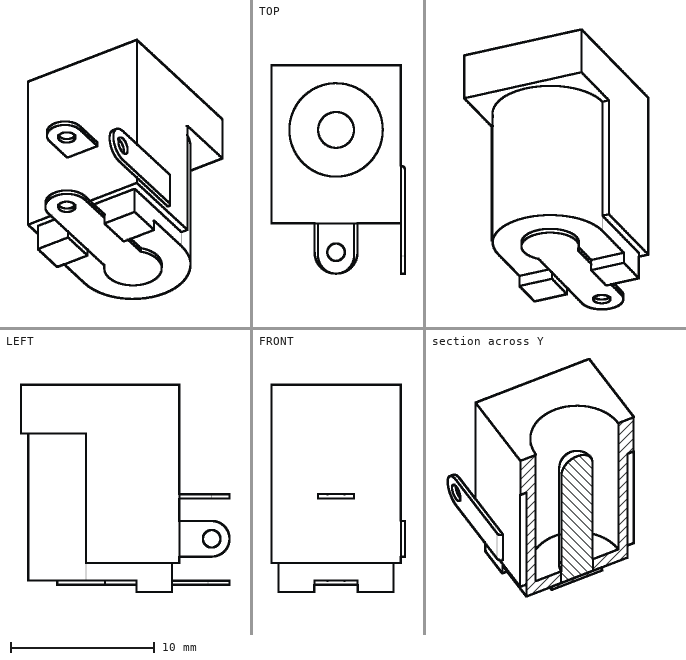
import cadquery as cq


total_height = 14.4
body_width = 8.99
body_front = -6.5
collar_back = 4.51
collar_height = 3.4
body_bottom = 2.0
core_bottom = 0.8
core_width = 8.0
core_radius = core_width / 2
core_front = body_front + 0.5
foot_length = 2.5

bore_diameter = 6.5
bore_floor = body_bottom
pin_diameter = 2.5
pin_radius = pin_diameter / 2
pin_tip = total_height - 1.7

sheet = 0.3
tip_y = body_front - 3.5
hole_diameter = 1.2
tab_width = 2.5
tab_radius = tab_width / 2
upper_bottom = 6.5
upper_hole_y = tip_y + 1.5
side_center_z = 3.7
side_hole_y = tip_y + tab_radius
side_back = body_front + 4.0
strip_width = 3.0
strip_radius = strip_width / 2
strip_hole_y = tip_y + strip_radius
disc_radius = 2.0


def box(width, y_front, y_back, z_bottom, z_top):
    """Box centred on X = 0 between the given Y and Z limits."""
    length = y_back - y_front
    return (
        cq.Workplane("XY", origin=(0, (y_front + y_back) / 2, z_bottom))
        .box(width, length, z_top - z_bottom, centered=(True, True, False))
    )


def cylinder(radius, z_bottom, z_top):
    """Cylinder on the barrel axis."""
    return cq.Workplane("XY", origin=(0, 0, z_bottom)).circle(radius).extrude(z_top - z_bottom)


def make_housing():
    body = box(body_width, body_front, 0, body_bottom, total_height)
    collar = box(body_width, 0, collar_back, total_height - collar_height, total_height)
    core = box(core_width, core_front, 0, core_bottom, total_height)
    round_end = cylinder(core_radius, core_bottom, total_height)
    foot_back = core_front + foot_length
    feet = box(core_width, core_front, foot_back, 0, core_bottom)
    foot_gap = box(strip_width, core_front, foot_back, 0, core_bottom)
    bore = cylinder(bore_diameter / 2, bore_floor, total_height)
    pin_hole = cylinder(pin_radius, core_bottom, bore_floor)
    solid = body.union(collar).union(core).union(round_end).union(feet.cut(foot_gap))
    return solid.cut(bore).cut(pin_hole)


def make_pin():
    """Domed pin that passes through the bore floor onto the bottom terminal."""
    dome_center = pin_tip - pin_radius
    shaft = cylinder(pin_radius, core_bottom, dome_center)
    dome = cq.Workplane("XY", origin=(0, 0, dome_center)).sphere(pin_radius)
    return shaft.union(dome)


def solder_tab(width, back_y, hole_y):
    """Flat tab on Z = 0 with a full-round tip at tip_y and a wire hole."""
    radius = width / 2
    round_y = tip_y + radius
    return (
        cq.Workplane("XY")
        .moveTo(-radius, back_y)
        .lineTo(-radius, round_y)
        .threePointArc((0, tip_y), (radius, round_y))
        .lineTo(radius, back_y)
        .close()
        .moveTo(0, hole_y)
        .circle(hole_diameter / 2)
        .extrude(sheet)
    )


def make_upper_terminal():
    return solder_tab(tab_width, body_front, upper_hole_y).translate((0, 0, upper_bottom))


def make_side_terminal():
    """Upright tab against the +X wall, its rear outer edge rounded over."""
    tab = solder_tab(tab_width, side_back, side_hole_y)
    edge_radius = 0.95 * sheet
    tab = tab.faces(">Y").edges(">Z").fillet(edge_radius)
    upright = tab.rotate((0, 0, 0), (0, 1, 0), 90)
    return upright.translate((body_width / 2, 0, side_center_z))


def make_bottom_terminal():
    """Strip running between the feet to a round pad under the pin."""
    strip = solder_tab(strip_width, 0, strip_hole_y)
    pad = cq.Workplane("XY").circle(disc_radius).extrude(sheet)
    return strip.union(pad).translate((0, 0, core_bottom - sheet))


housing = make_housing()
pin = make_pin()
upper_terminal = make_upper_terminal()
side_terminal = make_side_terminal()
bottom_terminal = make_bottom_terminal()

result = cq.Compound.makeCompound([
    housing.val(),
    pin.val(),
    upper_terminal.val(),
    side_terminal.val(),
    bottom_terminal.val(),
])